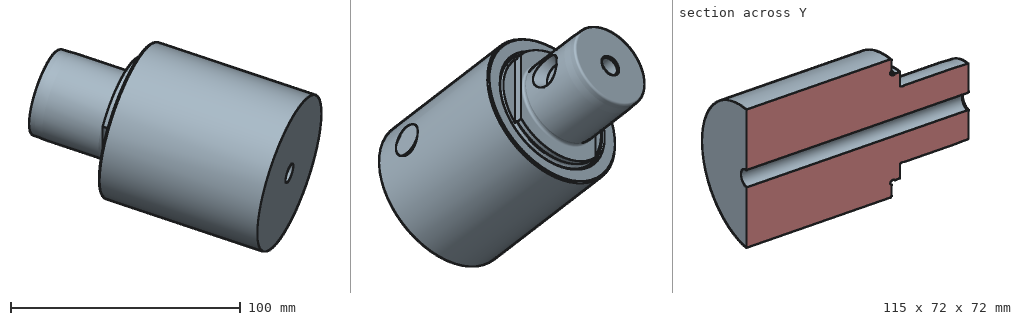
import cadquery as cq
import math

length = 115.0
housing_radius = 36.0
housing_face_x = 39.9
front_chamfer = 0.7
back_chamfer = 0.5
back_chamfer_height = 0.1

spigot_radius = 20.0
pilot_radius = 19.8
nose_fillet = 1.0
pilot_end_x = 3.2
taper_end_x = 6.9
relief_start_x = 33.4
relief_taper = 0.8
relief_fillet = 1.0

collar_start_x = 35.6
collar_radius = 27.7
collar_edge_x = 38.3
neck_taper = 0.6
neck_radius = 27.3
across_flats = 41.9

groove_depth = 0.7
groove_wall_width = 0.9
groove_fillet = 1.4
groove_outer_radius = neck_radius + groove_fillet + groove_wall_width

bore_radius = 4.4
bore_chamfer = 0.8
bore_chamfer_height = 0.5

clamp_offset = 19.3
notch_mouth_radius = 8.2
notch_taper = 25.0
notch_depth = 5.8
screw_radius = 7.5
screw_length = 13.8


def fillet_arc(profile, centre_x, centre_r, radius, mid_angle, end):
    """Quarter arc about (centre_x, centre_r), through the point at mid_angle degrees."""
    angle = math.radians(mid_angle)
    middle = (centre_x + radius * math.cos(angle), centre_r + radius * math.sin(angle))
    return profile.threePointArc(middle, end)


def radial_plug(x, top_y, radius, depth, taper=0):
    """Round plug along Y at the given x, from top_y down by depth, narrowing by taper degrees."""
    return cq.Workplane("XZ", origin=(x, top_y, 0)).circle(radius).extrude(depth, taper=taper)


def turned_body():
    """Revolve the outer half profile, drawn as (x, radius), about the X axis."""
    fillet_start_x = collar_start_x - relief_fillet
    groove_floor_x = housing_face_x + groove_depth
    groove_fillet_x = groove_floor_x - groove_fillet
    groove_floor_radius = neck_radius + groove_fillet

    profile = cq.Workplane("XZ").moveTo(0, 0).lineTo(0, pilot_radius - nose_fillet)
    profile = fillet_arc(profile, nose_fillet, pilot_radius - nose_fillet, nose_fillet, 135,
                         (nose_fillet, pilot_radius))
    profile = (
        profile.lineTo(pilot_end_x, pilot_radius)
        .lineTo(taper_end_x, spigot_radius)
        .lineTo(relief_start_x, spigot_radius)
        .lineTo(relief_start_x + relief_taper, pilot_radius)
        .lineTo(fillet_start_x, pilot_radius)
    )
    profile = fillet_arc(profile, fillet_start_x, pilot_radius + relief_fillet, relief_fillet, -45,
                         (collar_start_x, pilot_radius + relief_fillet))
    profile = (
        profile.lineTo(collar_start_x, collar_radius)
        .lineTo(collar_edge_x, collar_radius)
        .lineTo(collar_edge_x + neck_taper, neck_radius)
        .lineTo(groove_fillet_x, neck_radius)
    )
    profile = fillet_arc(profile, groove_fillet_x, groove_floor_radius, groove_fillet, -45,
                         (groove_floor_x, groove_floor_radius))
    profile = (
        profile.lineTo(housing_face_x, groove_outer_radius)
        .lineTo(housing_face_x, housing_radius - front_chamfer)
        .lineTo(housing_face_x + front_chamfer, housing_radius)
        .lineTo(length - back_chamfer, housing_radius)
        .lineTo(length, housing_radius - back_chamfer_height)
        .lineTo(length, 0)
        .close()
    )
    return profile.revolve(360, (0, 0, 0), (1, 0, 0))


def cut_drive_flats(body):
    """Mill two parallel flats on the collar, down to the housing shoulder."""
    collar_length = housing_face_x - collar_start_x
    ring_height = collar_radius - across_flats / 2
    for side in (-1, 1):
        slab = cq.Workplane("XY").box(collar_length, ring_height, 2 * collar_radius)
        slab_x = collar_start_x + collar_length / 2
        slab_y = side * (across_flats + ring_height) / 2
        body = body.cut(slab.translate((slab_x, slab_y, 0)))
    return body


def cut_bore(body):
    """Bore right through along X, with a small chamfer at the spigot end."""
    mouth_radius = bore_radius + bore_chamfer_height
    bore = (
        cq.Workplane("XY")
        .lineTo(0, mouth_radius)
        .lineTo(bore_chamfer, bore_radius)
        .lineTo(length, bore_radius)
        .lineTo(length, 0)
        .close()
        .revolve(360, (0, 0, 0), (1, 0, 0))
    )
    return body.cut(bore)


def make_screw():
    """Clamping screw along Y, its flat head level with the housing's widest point."""
    return radial_plug(length - clamp_offset, housing_radius, screw_radius, screw_length)


def make_housing():
    body = turned_body()
    body = cut_drive_flats(body)
    body = cut_bore(body)
    notch_x = housing_face_x - clamp_offset
    notch = radial_plug(notch_x, spigot_radius, notch_mouth_radius, notch_depth, notch_taper)
    screw_hole = make_screw()
    return body.cut(notch).cut(screw_hole)


housing = make_housing()
screw = make_screw()

result = cq.Compound.makeCompound([housing.val(), screw.val()])